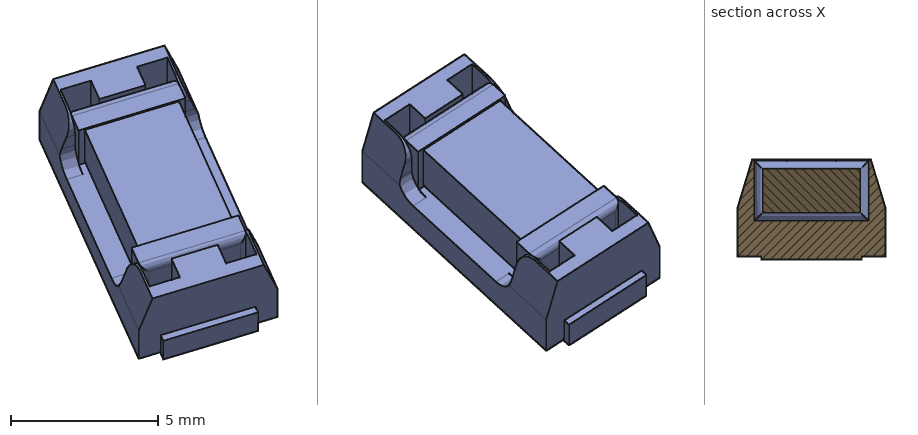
import cadquery as cq

housing_length = 9.73
housing_width = 5.03
top_width = 4.03
standoff = 0.1
top_z = 3.41
shoulder_z = (standoff + top_z) / 2
floor_z = 1.32

saddle_width = 5.88
saddle_radius = 0.75

terminal_width = 3.43
terminal_height = 1.1
terminal_thickness = 0.25
foot_length = 3.85
overall_length = housing_length + 2 * terminal_thickness

fuse_length = 7.08
cap_length = 0.94
cap_width = 3.87
cap_height = 2.03
cap_edge_radius = 0.28
fuse_body_width = 3.41
fuse_body_height = 1.87
fuse_mid_z = floor_z + cap_height / 2

notch_span = 8.72
notch_width = 1.1


def block(length, width, height, x, y, bottom_z):
    """Box centred on (x, y) that stands on bottom_z."""
    box = cq.Workplane("XY").box(length, width, height, centered=(True, True, False))
    return box.translate((x, y, bottom_z))


def make_housing_blank():
    """Prism along X: upright sides below the shoulder, sloping sides above it."""
    return (
        cq.Workplane("YZ")
        .moveTo(-housing_width / 2, standoff)
        .lineTo(housing_width / 2, standoff)
        .lineTo(housing_width / 2, shoulder_z)
        .lineTo(top_width / 2, top_z)
        .lineTo(-top_width / 2, top_z)
        .lineTo(-housing_width / 2, shoulder_z)
        .close()
        .extrude(housing_length / 2, both=True)
    )


def make_saddle_cutter():
    """Opening through both long walls, with rounded lips above and rounded feet below.

    The part within the pocket's width is left out, so the end blocks keep flat tops there.
    """
    wall_x = saddle_width / 2
    lip_x = wall_x + saddle_radius
    foot_x = wall_x - saddle_radius
    lip_z = top_z - saddle_radius
    foot_z = floor_z + saddle_radius
    opening = (
        cq.Workplane("XZ")
        .moveTo(-lip_x, top_z)
        .radiusArc((-wall_x, lip_z), saddle_radius)
        .lineTo(-wall_x, foot_z)
        .radiusArc((-foot_x, floor_z), -saddle_radius)
        .lineTo(foot_x, floor_z)
        .radiusArc((wall_x, foot_z), -saddle_radius)
        .lineTo(wall_x, lip_z)
        .radiusArc((lip_x, top_z), saddle_radius)
        .close()
        .extrude(housing_width / 2, both=True)
    )
    return opening.cut(block(housing_length, cap_width, top_z, 0, 0, 0))


def make_pocket_cutter():
    """Fuse pocket down to the saddle floor, lengthened at its four corners by the notches."""
    depth = top_z - floor_z
    notch_y = (cap_width - notch_width) / 2
    cutter = block(fuse_length, cap_width, depth, 0, 0, floor_z)
    for side in (-1, 1):
        cutter = cutter.union(block(notch_span, notch_width, depth, 0, side * notch_y, floor_z))
    return cutter


def make_terminal(end):
    """L-shaped terminal at one end (-1 or 1): an upright plate and a foot under the housing."""
    plate_x = end * (overall_length - terminal_thickness) / 2
    foot_x = end * (overall_length - foot_length) / 2
    plate = block(terminal_thickness, terminal_width, terminal_height, plate_x, 0, 0)
    foot = block(foot_length, terminal_width, standoff, foot_x, 0, 0)
    return plate.union(foot)


def make_housing():
    housing = make_housing_blank().cut(make_saddle_cutter()).cut(make_pocket_cutter())
    for end in (-1, 1):
        housing = housing.union(make_terminal(end))
    return housing


def make_fuse():
    """Fuse lying along X, with its caps on the saddle floor and its outer end edges rounded."""
    fuse = block(
        fuse_length - 2 * cap_length,
        fuse_body_width,
        fuse_body_height,
        0,
        0,
        fuse_mid_z - fuse_body_height / 2,
    )
    cap_x = (fuse_length - cap_length) / 2
    for end, end_face in ((-1, "<X"), (1, ">X")):
        cap = block(cap_length, cap_width, cap_height, end * cap_x, 0, floor_z)
        fuse = fuse.union(cap.faces(end_face).edges().fillet(cap_edge_radius))
    return fuse


housing = make_housing()
fuse = make_fuse()
result = cq.Compound.makeCompound([housing.val(), fuse.val()])